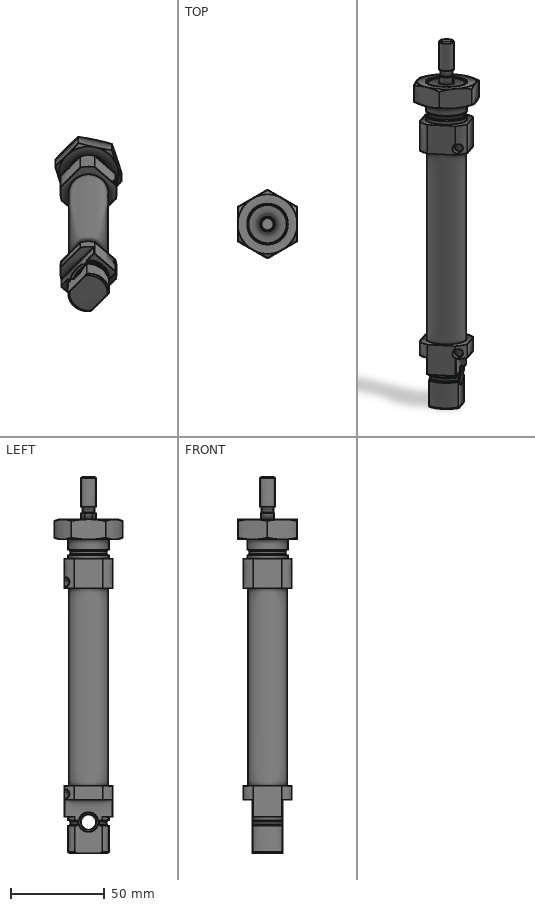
import cadquery as cq
import math

total_height = 202.0

thread_diameter = 22.0
thread_end_chamfer = 0.8
undercut_rim_diameter = 20.5
undercut_floor_diameter = 19.8
undercut_width = 3.0
undercut_slope = 0.8
collar_height = 1.8

barrel_diameter = 21.2
cap_width = 26.3
cap_corner_diameter = 30.3
rear_cap_bottom = 19.5
rear_cap_top = 36.2
front_cap_bottom = 142.2
front_cap_top = 158.2
nose_top = 178.5

clevis_thickness = 16.2
clevis_top = 28.7
pin_hole_diameter = 8.0
pin_hole_height = 16.8
pin_countersink = 1.2

side_hole_diameter = 5.0
side_hole_offset = 8.7
side_hole_depth = 5.0
side_hole_heights = (32.0, 145.6)

nut_width = 32.0
nut_height = 10.7
nut_top = 179.2
nut_corner_angle = 20.0
nut_sides = 6
half_side_angle = 180 / nut_sides

rod_diameter = 8.0
rod_end_chamfer = 0.8
rod_relief_rim_diameter = 7.0
rod_relief_floor_diameter = 6.5
rod_relief_lower_slope = 0.6
rod_relief_upper_slope = 1.8
rod_relief_bottom = 182.5
rod_relief_top = 186.0
wrench_flat_width = 7.0
rod_socket_depth = nose_top - front_cap_top


def cylinder(diameter, bottom, top):
    return cq.Workplane("XY").workplane(offset=bottom).circle(diameter / 2).extrude(top - bottom)


def rectangular_bar(width_x, width_y, bottom, top):
    return cq.Workplane("XY").workplane(offset=bottom).rect(width_x, width_y).extrude(top - bottom)


def cap(bottom, top):
    """Square end cap with its four corners turned round."""
    corners = cylinder(cap_corner_diameter, bottom, top)
    return rectangular_bar(cap_width, cap_width, bottom, top).intersect(corners)


def relief_ring(outer_diameter, rim_diameter, floor_diameter, bottom, top, lower_slope, upper_slope):
    """Ring that cuts a relief: square shoulders down to the rim, then slopes down to the floor."""
    outer = outer_diameter / 2
    rim = rim_diameter / 2
    floor = floor_diameter / 2
    profile = [
        (outer, bottom),
        (rim, bottom),
        (floor, bottom + lower_slope),
        (floor, top - upper_slope),
        (rim, top),
        (outer, top),
    ]
    return cq.Workplane("XZ").polyline(profile).close().revolve(360, (0, 0), (0, 1))


def undercut(bottom):
    """Ring that cuts the relief of a threaded nose."""
    return relief_ring(
        thread_diameter,
        undercut_rim_diameter,
        undercut_floor_diameter,
        bottom,
        bottom + undercut_width,
        undercut_slope,
        undercut_slope,
    )


def rear_nose():
    nose = cylinder(thread_diameter, 0, rear_cap_bottom)
    nose = nose.faces("<Z").chamfer(thread_end_chamfer)
    return nose.cut(undercut(rear_cap_bottom - collar_height - undercut_width))


def front_nose():
    nose = cylinder(thread_diameter, front_cap_top, nose_top)
    nose = nose.faces(">Z").chamfer(thread_end_chamfer)
    nose = nose.cut(undercut(front_cap_top + collar_height))
    return nose.cut(cylinder(rod_diameter, nose_top - rod_socket_depth, nose_top))


def pin_hole():
    """Through hole along X with a 45 degree countersink at both sides."""
    radius = pin_hole_diameter / 2
    half = clevis_thickness / 2
    profile = [
        (-half, 0),
        (-half, radius + pin_countersink),
        (-half + pin_countersink, radius),
        (half - pin_countersink, radius),
        (half, radius + pin_countersink),
        (half, 0),
    ]
    hole = cq.Workplane("XZ").polyline(profile).close().revolve(360, (0, 0), (1, 0))
    return hole.translate((0, 0, pin_hole_height))


def rear_end():
    """Rear nose and cap, narrowed along X to the clevis, with the pin hole through it."""
    end = rear_nose().union(cap(rear_cap_bottom, rear_cap_top))
    clevis = rectangular_bar(clevis_thickness, cap_width, 0, clevis_top)
    full_width = rectangular_bar(cap_width, cap_width, clevis_top, rear_cap_top)
    return end.intersect(clevis.union(full_width)).cut(pin_hole())


def side_hole(height):
    """Blind hole entering a cap from its +Y side, breaking out through the round corner."""
    face = cq.Workplane("XZ", origin=(-side_hole_offset, cap_width / 2, height))
    return face.circle(side_hole_diameter / 2).extrude(side_hole_depth)


def make_housing():
    housing = cylinder(barrel_diameter, rear_cap_top, front_cap_bottom)
    housing = housing.union(rear_end())
    housing = housing.union(cap(front_cap_bottom, front_cap_top))
    housing = housing.union(front_nose())
    for height in side_hole_heights:
        housing = housing.cut(side_hole(height))
    return housing


def make_nut():
    """Hexagon nut on the front nose with two sides facing X; its corners slope off at both faces."""
    bottom = nut_top - nut_height
    corner_diameter = nut_width / math.cos(math.radians(half_side_angle))
    corner_depth = (corner_diameter - nut_width) / 2
    corner_drop = corner_depth * math.tan(math.radians(nut_corner_angle))
    base = cq.Workplane("XY").workplane(offset=bottom)
    hexagon = base.polygon(nut_sides, corner_diameter).extrude(nut_height)
    hexagon = hexagon.rotate((0, 0, 0), (0, 0, 1), half_side_angle)
    cones = cylinder(corner_diameter, bottom, nut_top)
    cones = cones.faces("<Z or >Z").chamfer(corner_drop, corner_depth)
    return hexagon.intersect(cones).cut(cylinder(thread_diameter, bottom, nut_top))


def make_rod():
    """Stepped rod: round in its socket, two wrench flats, a relief groove and a thread."""
    rod = cylinder(rod_diameter, nose_top - rod_socket_depth, total_height)
    rod = rod.faces(">Z").chamfer(rod_end_chamfer)
    relief = relief_ring(
        rod_diameter,
        rod_relief_rim_diameter,
        rod_relief_floor_diameter,
        rod_relief_bottom,
        rod_relief_top,
        rod_relief_lower_slope,
        rod_relief_upper_slope,
    )
    rod = rod.cut(relief)
    flat_blank = cylinder(rod_diameter, nose_top, rod_relief_bottom)
    between_flats = rectangular_bar(wrench_flat_width, rod_diameter, nose_top, rod_relief_bottom)
    return rod.cut(flat_blank.cut(between_flats))


housing = make_housing().solids()
nut = make_nut().solids()
rod = make_rod().solids()

result = cq.Compound.makeCompound([housing.val(), nut.val(), rod.val()])